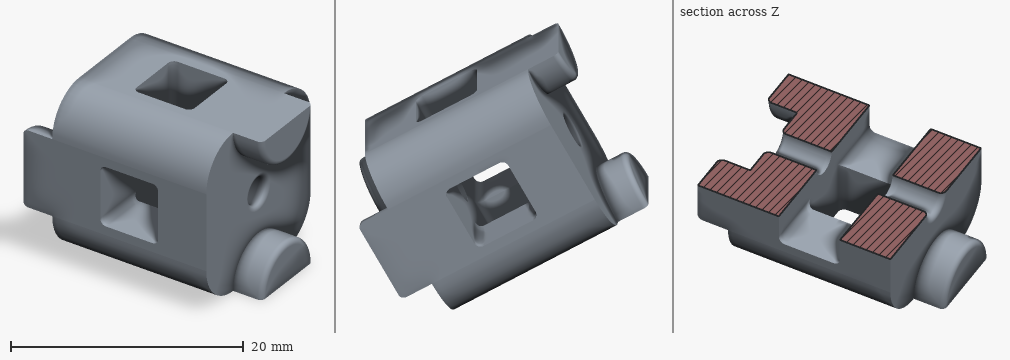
import cadquery as cq

total_length = 22.0
body_side = 16.0
body_length = 16.0
tab_length = (total_length - body_length) / 2

tab_radius = 3.9
flat_width = 2 * tab_radius
corner_radius = (body_side - flat_width) / 2
window_side = 6.0
window_corner_radius = 0.6
bore_diameter = 2.6
edge_round = 0.5


def make_body():
    """Square block along X with rounded long edges and a rounded-mouth bore."""
    block = cq.Workplane("XY").box(body_length, body_side, body_side)
    block = block.edges("|X").fillet(corner_radius)
    bore = cq.Workplane("YZ").circle(bore_diameter / 2).extrude(body_length, both=True)
    return block.cut(bore).edges("%CIRCLE").edges(
        cq.selectors.RadiusNthSelector(0)
    ).fillet(edge_round)


def make_tab_pair(end):
    """Two half-round tabs on the end face at +X (end=1) or -X (end=-1), at opposite Y sides."""
    face_x = end * body_length / 2
    tabs = (
        cq.Workplane("YZ", origin=(face_x, 0, 0))
        .pushPoints([(-body_side / 2, 0), (body_side / 2, 0)])
        .circle(tab_radius)
        .extrude(end * tab_length)
    )
    tabs = tabs.edges(">X" if end > 0 else "<X").fillet(edge_round)
    envelope = cq.Workplane("XY").box(total_length, body_side, body_side)
    return tabs.intersect(envelope)


def make_window(plane):
    """Rounded square prism that passes through the body normal to the plane."""
    return (
        cq.Workplane(plane)
        .sketch()
        .rect(window_side, window_side)
        .vertices()
        .fillet(window_corner_radius)
        .finalize()
        .extrude(body_side, both=True)
    )


side_tabs = make_tab_pair(-1)
upright_tabs = make_tab_pair(1).rotate((0, 0, 0), (1, 0, 0), 90)

result = make_body().union(side_tabs).union(upright_tabs)
for window_plane in ("XY", "XZ"):
    result = result.cut(make_window(window_plane))